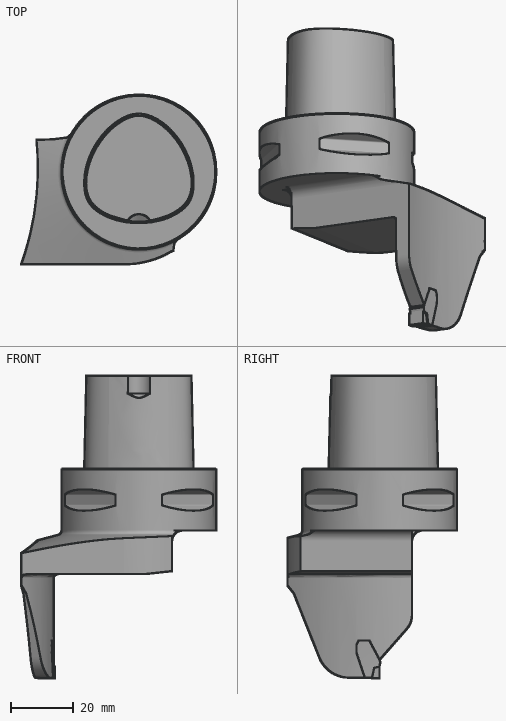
import cadquery as cq
import math


SHANK_LENGTH = 30.0
SHANK_BASE_RADIUS = 17.7
SHANK_TOP_RADIUS = 17.0
SHANK_LOBE = 1.2
FLANK_HALF_ANGLE = 23
FLANK_MIDDLES = (30, 150, 270)
POINTS_PER_CURVE = 9

NOTCH_RADIUS = 4.1
NOTCH_DEPTH = 5.8
NOTCH_WALL_Y = -13.6
DRILL_POINT_ANGLE = 118

FLANGE_RADIUS = 50.0 / 2
FLANGE_HEIGHT = 20.0
FLANGE_CHAMFER = 0.4

GROOVE_Z = -10.15
GROOVE_FLOOR_HEIGHT = 3.5
GROOVE_FLOOR_DISTANCE = 22.2
GROOVE_MOUTH_HEIGHT = 6.9
GROOVE_CORNER_RADIUS = 0.5
GROOVE_ANGLES = (45, 135, 225, 315)

TOTAL_WIDTH = 63.0
ARM_FRONT_Y = -29.8
ARM_BACK_Y = 10.4
ARM_RIGHT_X = 10.7
ARM_LEFT_X = TOTAL_WIDTH - FLANGE_RADIUS
ARM_BOTTOM_Z = -34.1
ROUND_CENTER_X = -4.7
ROUND_RADIUS = -ARM_FRONT_Y
RELIEF_START_X = 2.0
RELIEF_RISE = 1.0
FLARE_RADIUS = 3.3
NECK_FILLET = 1.4
CONE_ANGLE = 15
CONE_REACH = 50.8

BLADE_APEX_Y = 1.2
OUTER_APEX_X = -32.6
INNER_APEX_X = -27.3
INNER_RADIUS = 50.8
TOTAL_HEIGHT = 97.6
TIP_Z = SHANK_LENGTH - TOTAL_HEIGHT
BLADE_BOTTOM_Z = TIP_Z + 0.2
BACK_CORNER_Z = -49.8
HEEL_Y = -5.1
FRONT_CORNER_Y = -16.9
KNEE_Y = -27.7
KNEE_Z = -40.2
FRONT_EDGE_Z = -37.7
BLADE_CORNER_RADIUS = 10.4
BACK_CORNER_RADIUS = 6.8
ROOT_RADIUS = 1.3

TIP_OFFSET = 0.4
INSERT_OUTLINE = (
    (0.0, BLADE_BOTTOM_Z),
    (0.0, -63.4),
    (0.3, -62.5),
    (-0.2, -61.3),
    (-3.3, -55.4),
    (-6.8, -55.4),
    (-7.5, -57.0),
    (-7.5, -59.2),
    (-4.8, BLADE_BOTTOM_Z),
)
TIP_OUTLINE = (
    (0.0, TIP_Z),
    (0.0, -63.8),
    (-1.8, -64.2),
    (-2.5, TIP_Z),
)


def arc_x(apex_x, radius, y):
    """X of a blade arc that bulges towards +X, at the given Y."""
    return apex_x - radius + math.sqrt(radius**2 - (y - BLADE_APEX_Y) ** 2)


OUTER_SAG = ARM_LEFT_X + OUTER_APEX_X
OUTER_HALF_CHORD = BLADE_APEX_Y - ARM_FRONT_Y
OUTER_RADIUS = (OUTER_HALF_CHORD**2 + OUTER_SAG**2) / (2 * OUTER_SAG)


def outer_x(y):
    return arc_x(OUTER_APEX_X, OUTER_RADIUS, y)


def shank_point(mean_radius, lobe, angle, z):
    """Point of the three-lobed section whose outward normal has this angle."""
    t = math.radians(angle)
    support = mean_radius - lobe * math.sin(3 * t)
    slope = -3 * lobe * math.cos(3 * t)
    x = support * math.cos(t) - slope * math.sin(t)
    y = support * math.sin(t) + slope * math.cos(t)
    return cq.Vector(x, y, z)


def shank_section(mean_radius, lobe, z):
    joints = []
    for middle in FLANK_MIDDLES:
        joints += [middle - FLANK_HALF_ANGLE, middle + FLANK_HALF_ANGLE]
    edges = []
    for start, end in zip(joints, joints[1:] + [joints[0] + 360]):
        step = (end - start) / (POINTS_PER_CURVE - 1)
        angles = [start + i * step for i in range(POINTS_PER_CURVE)]
        edges.append(cq.Edge.makeSpline([shank_point(mean_radius, lobe, a, z) for a in angles]))
    return cq.Wire.assembleEdges(edges)


def make_shank():
    base = shank_section(SHANK_BASE_RADIUS, SHANK_LOBE, 0)
    top = shank_section(SHANK_TOP_RADIUS, SHANK_LOBE, SHANK_LENGTH)
    shank = cq.Workplane(cq.Solid.makeLoft([base, top], True))
    floor_z = SHANK_LENGTH - NOTCH_DEPTH
    point_z = floor_z - NOTCH_RADIUS / math.tan(math.radians(DRILL_POINT_ANGLE / 2))
    drill = (
        cq.Workplane("XZ")
        .polyline([(0, point_z), (NOTCH_RADIUS, floor_z), (NOTCH_RADIUS, SHANK_LENGTH), (0, SHANK_LENGTH)])
        .close()
        .revolve(360, (0, 0), (0, 1))
        .translate((0, NOTCH_WALL_Y - NOTCH_RADIUS, 0))
    )
    return shank.cut(drill)


def make_groove_cutter():
    """Trapezoidal groove across the +X side of the flange."""
    half_floor = GROOVE_FLOOR_HEIGHT / 2
    half_mouth = GROOVE_MOUTH_HEIGHT / 2
    return (
        cq.Workplane("XZ")
        .polyline([
            (GROOVE_FLOOR_DISTANCE, GROOVE_Z - half_floor),
            (FLANGE_RADIUS, GROOVE_Z - half_mouth),
            (FLANGE_RADIUS, GROOVE_Z + half_mouth),
            (GROOVE_FLOOR_DISTANCE, GROOVE_Z + half_floor),
        ])
        .close()
        .extrude(FLANGE_RADIUS, both=True)
        .edges("<X and |Y")
        .fillet(GROOVE_CORNER_RADIUS)
    )


def make_flange():
    flange = cq.Workplane("XY").circle(FLANGE_RADIUS).extrude(-FLANGE_HEIGHT)
    flange = flange.faces(">Z").chamfer(FLANGE_CHAMFER)
    cutter = make_groove_cutter()
    for angle in GROOVE_ANGLES:
        flange = flange.cut(cutter.rotate((0, 0, 0), (0, 0, 1), angle))
    return flange


def make_flare(plane, wall, length):
    """Concave fillet strip between a wall and the underside of the flange."""
    top = -FLANGE_HEIGHT
    bend = FLARE_RADIUS * (1 - math.sqrt(0.5))
    return (
        cq.Workplane(plane)
        .moveTo(wall, top)
        .lineTo(wall + FLARE_RADIUS, top)
        .threePointArc((wall + bend, top - bend), (wall, top - FLARE_RADIUS))
        .close()
        .extrude(length)
    )


def make_cone_envelope():
    """Cone and neck fillet that bound the arm from above."""
    slope = math.radians(CONE_ANGLE)
    center_r = FLANGE_RADIUS + NECK_FILLET
    half_turn = (math.pi / 2 - slope) / 2
    neck_middle = (
        center_r - NECK_FILLET * math.cos(half_turn),
        -FLANGE_HEIGHT - NECK_FILLET * math.sin(half_turn),
    )
    neck_r = center_r - NECK_FILLET * math.sin(slope)
    neck_z = -FLANGE_HEIGHT - NECK_FILLET * math.cos(slope)
    cone_end_z = neck_z - (CONE_REACH - neck_r) * math.tan(slope)
    return (
        cq.Workplane("XZ")
        .moveTo(0, -FLANGE_HEIGHT)
        .lineTo(FLANGE_RADIUS, -FLANGE_HEIGHT)
        .threePointArc(neck_middle, (neck_r, neck_z))
        .lineTo(CONE_REACH, cone_end_z)
        .lineTo(CONE_REACH, TIP_Z)
        .lineTo(0, TIP_Z)
        .close()
        .revolve(360, (0, 0), (0, 1))
    )


def make_arm():
    round_end_y = -math.sqrt(ROUND_RADIUS**2 - (ARM_RIGHT_X - ROUND_CENTER_X) ** 2)
    middle_angle = math.asin((ARM_RIGHT_X - ROUND_CENTER_X) / ROUND_RADIUS) / 2
    round_middle = (
        ROUND_CENTER_X + ROUND_RADIUS * math.sin(middle_angle),
        -ROUND_RADIUS * math.cos(middle_angle),
    )
    arm = (
        cq.Workplane("XY", origin=(0, 0, ARM_BOTTOM_Z))
        .moveTo(-ARM_LEFT_X, ARM_FRONT_Y)
        .lineTo(ROUND_CENTER_X, ARM_FRONT_Y)
        .threePointArc(round_middle, (ARM_RIGHT_X, round_end_y))
        .lineTo(ARM_RIGHT_X, ARM_BACK_Y)
        .lineTo(outer_x(ARM_BACK_Y), ARM_BACK_Y)
        .threePointArc((OUTER_APEX_X, BLADE_APEX_Y), (-ARM_LEFT_X, ARM_FRONT_Y))
        .close()
        .extrude(-FLANGE_HEIGHT - ARM_BOTTOM_Z)
    )
    relief = (
        cq.Workplane("XZ")
        .polyline([
            (RELIEF_START_X, ARM_BOTTOM_Z),
            (ARM_RIGHT_X, ARM_BOTTOM_Z),
            (ARM_RIGHT_X, ARM_BOTTOM_Z + RELIEF_RISE),
        ])
        .close()
        .extrude(ROUND_RADIUS, both=True)
    )
    left_x = outer_x(ARM_BACK_Y)
    back_flare = make_flare("YZ", ARM_BACK_Y, ARM_RIGHT_X - left_x).translate((left_x, 0, 0))
    right_flare = make_flare("XZ", ARM_RIGHT_X, ARM_BACK_Y - round_end_y).translate((0, ARM_BACK_Y, 0))
    return arm.cut(relief).union(back_flare).union(right_flare).intersect(make_cone_envelope())


def make_curved_plate(shift):
    """Full-size plate between the two blade arcs, moved by shift along +X."""
    back = ARM_BACK_Y
    front = ARM_FRONT_Y
    return (
        cq.Workplane("XY", origin=(0, 0, TIP_Z))
        .moveTo(outer_x(front), front)
        .threePointArc((OUTER_APEX_X, BLADE_APEX_Y), (outer_x(back), back))
        .lineTo(arc_x(INNER_APEX_X, INNER_RADIUS, back), back)
        .threePointArc((INNER_APEX_X, BLADE_APEX_Y), (arc_x(INNER_APEX_X, INNER_RADIUS, front), front))
        .close()
        .extrude(ARM_BOTTOM_Z - TIP_Z)
        .translate((shift, 0, 0))
    )


def side_prism(outline):
    """Outline in Y and Z, extruded across the whole thickness of the blade."""
    return (
        cq.Workplane("YZ", origin=(-ARM_LEFT_X, 0, 0))
        .polyline(outline)
        .close()
        .extrude(ARM_LEFT_X)
    )


def make_blade():
    profile = side_prism([
        (ARM_BACK_Y, ARM_BOTTOM_Z),
        (ARM_BACK_Y, BACK_CORNER_Z),
        (HEEL_Y, BLADE_BOTTOM_Z),
        (FRONT_CORNER_Y, BLADE_BOTTOM_Z),
        (KNEE_Y, KNEE_Z),
        (ARM_FRONT_Y, FRONT_EDGE_Z),
        (ARM_FRONT_Y, ARM_BOTTOM_Z),
    ])
    profile = profile.edges(cq.NearestToPointSelector((-ARM_LEFT_X / 2, FRONT_CORNER_Y, BLADE_BOTTOM_Z)))
    profile = profile.fillet(BLADE_CORNER_RADIUS)
    profile = profile.edges(cq.NearestToPointSelector((-ARM_LEFT_X / 2, ARM_BACK_Y, BACK_CORNER_Z)))
    profile = profile.fillet(BACK_CORNER_RADIUS)
    return make_curved_plate(shift=0).intersect(profile)


def make_insert():
    tip_prism = side_prism(TIP_OUTLINE)
    body = make_curved_plate(shift=0).intersect(side_prism(INSERT_OUTLINE)).cut(tip_prism)
    tip = make_curved_plate(TIP_OFFSET).intersect(tip_prism)
    return body.union(tip)


def make_holder(insert):
    holder = make_shank().union(make_flange()).union(make_arm()).union(make_blade())
    root_middle_y = (ARM_FRONT_Y + ARM_BACK_Y) / 2
    root_middle_x = arc_x(INNER_APEX_X, INNER_RADIUS, root_middle_y)
    root = cq.NearestToPointSelector((root_middle_x, root_middle_y, ARM_BOTTOM_Z))
    holder = holder.edges(root).fillet(ROOT_RADIUS)
    pocket = make_curved_plate(shift=0).intersect(side_prism(INSERT_OUTLINE))
    return holder.cut(pocket).cut(insert)


insert = make_insert()
holder = make_holder(insert)
result = cq.Compound.makeCompound([holder.val(), insert.val()])